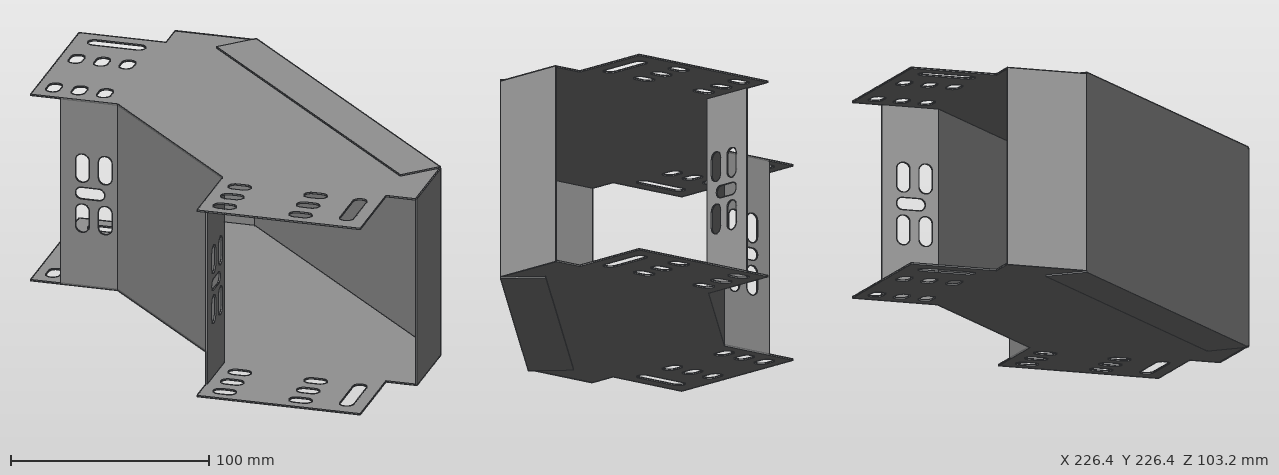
import cadquery as cq
import math

SPAN = 226.4
TOTAL_HEIGHT = 103.2
SHEET = 0.8

ARM_LENGTH = 45.7
ARM_INNER = 124.3
ARM_OUTER = 210.0
WING_LENGTH = 42.3
FLANGE_WIDTH = 22.9
FLANGE_END_GAP = 0.7
TAB_LENGTH = 30.0

SLOT_WIDTH = 7.2
LONG_SLOT_LENGTH = 30.3
LONG_SLOT_Y = 199.7
SHORT_SLOT_LENGTH = 12.0
SHORT_SLOT_PITCH = 13.4
SHORT_SLOT_ROWS = (136.3, 176.1)
SHORT_SLOTS_PER_ROW = 3
FIRST_SHORT_SLOT_X = 8.8

TAB_SLOT_LENGTH = 15.5
TAB_SLOT_COLUMNS = (27.2, 39.2)
TAB_SLOT_RISE = 13.5
MIDDLE_SLOT_WIDTH = 6.3

TRAY_HEIGHT = TOTAL_HEIGHT - 2 * SHEET
INSIDE_HEIGHT = TRAY_HEIGHT - 2 * SHEET
WING_END = ARM_LENGTH + WING_LENGTH
BEND_STEP = SHEET * math.tan(math.pi / 8)
FLANGE_STEP = FLANGE_WIDTH / math.sqrt(2)
FLANGE_END_STEP = FLANGE_END_GAP / math.sqrt(2)
MIDDLE_SLOT_X = TAB_SLOT_COLUMNS[0] - SLOT_WIDTH / 2 + TAB_SLOT_LENGTH / 2
SLOT_CUT_DEPTH = 4 * SHEET


def mirrored(half_outline):
    """Close an outline by reflecting its points about the line X = Y."""
    return half_outline + [(y, x) for x, y in reversed(half_outline)]


def prism(points, height):
    """Extrude a closed outline, centred on Z = 0."""
    return cq.Workplane("XY").polyline(points).close().extrude(height / 2, both=True)


def with_mirror(shape):
    """Add the copy of a shape for the other arm.

    A half turn about the line X = Y equals a reflection, as the shapes are symmetric about Z = 0.
    """
    return shape.union(shape.rotate((0, 0, 0), (1, 1, 0), 180))


def plate_slots():
    """Slots of both arms, cutting through the bottom and top plates."""
    short_slots = [
        (FIRST_SHORT_SLOT_X + column * SHORT_SLOT_PITCH, row)
        for row in SHORT_SLOT_ROWS
        for column in range(SHORT_SLOTS_PER_ROW)
    ]
    slots = (
        cq.Workplane("XY")
        .pushPoints(short_slots)
        .slot2D(SHORT_SLOT_LENGTH, SLOT_WIDTH, 90)
        .extrude(TOTAL_HEIGHT / 2, both=True)
    )
    long_slot = (
        cq.Workplane("XY")
        .center(ARM_LENGTH / 2, LONG_SLOT_Y)
        .slot2D(LONG_SLOT_LENGTH, SLOT_WIDTH)
        .extrude(TOTAL_HEIGHT / 2, both=True)
    )
    return with_mirror(slots.union(long_slot))


def tab_slots():
    """Four upright slots and a level one through the tab of each arm."""
    tab_plane = cq.Workplane("XZ", origin=(0, ARM_INNER, 0))
    upright_points = [(x, z) for x in TAB_SLOT_COLUMNS for z in (-TAB_SLOT_RISE, TAB_SLOT_RISE)]
    upright = (
        tab_plane.pushPoints(upright_points)
        .slot2D(TAB_SLOT_LENGTH, SLOT_WIDTH, 90)
        .extrude(SLOT_CUT_DEPTH, both=True)
    )
    level = (
        tab_plane.center(MIDDLE_SLOT_X, 0)
        .slot2D(TAB_SLOT_LENGTH, MIDDLE_SLOT_WIDTH)
        .extrude(SLOT_CUT_DEPTH, both=True)
    )
    return with_mirror(upright.union(level))


def make_tray():
    """Bottom and top plates joined by the inner wall and its two tabs."""
    plate_outline = mirrored([
        (ARM_LENGTH, ARM_INNER),
        (0, ARM_INNER),
        (0, ARM_OUTER),
        (ARM_LENGTH, ARM_OUTER),
        (ARM_LENGTH, SPAN - SHEET),
        (WING_END - BEND_STEP, SPAN - SHEET),
    ])
    wall_start = ARM_LENGTH - TAB_LENGTH
    wall_outline = [
        (wall_start, ARM_INNER + SHEET),
        (wall_start, ARM_INNER),
        (ARM_LENGTH, ARM_INNER),
        (ARM_INNER, ARM_LENGTH),
        (ARM_INNER, wall_start),
        (ARM_INNER + SHEET, wall_start),
        (ARM_INNER + SHEET, ARM_LENGTH + BEND_STEP),
        (ARM_LENGTH + BEND_STEP, ARM_INNER + SHEET),
    ]
    plates = prism(plate_outline, TRAY_HEIGHT).cut(prism(plate_outline, INSIDE_HEIGHT))
    wall = prism(wall_outline, INSIDE_HEIGHT).cut(tab_slots())
    return plates.cut(plate_slots()).union(wall, clean=False)


def make_cover():
    """Outer diagonal wall with two end wings and flanges over both plates."""
    wall_outline = mirrored([
        (WING_END - BEND_STEP, SPAN - SHEET),
        (ARM_LENGTH, SPAN - SHEET),
        (ARM_LENGTH, SPAN),
        (WING_END, SPAN),
    ])
    flange_end_x = WING_END + FLANGE_END_STEP
    flange_end_y = SPAN - FLANGE_END_STEP
    flange_outline = mirrored([
        (flange_end_x - FLANGE_STEP, flange_end_y - FLANGE_STEP),
        (flange_end_x, flange_end_y),
    ])
    walls = prism(wall_outline, TRAY_HEIGHT)
    flanges = prism(flange_outline, TOTAL_HEIGHT).cut(prism(flange_outline, TRAY_HEIGHT))
    return walls.union(flanges)


tray = make_tray()
cover = make_cover()
result = cq.Compound.makeCompound([tray.solids().val(), cover.solids().val()])